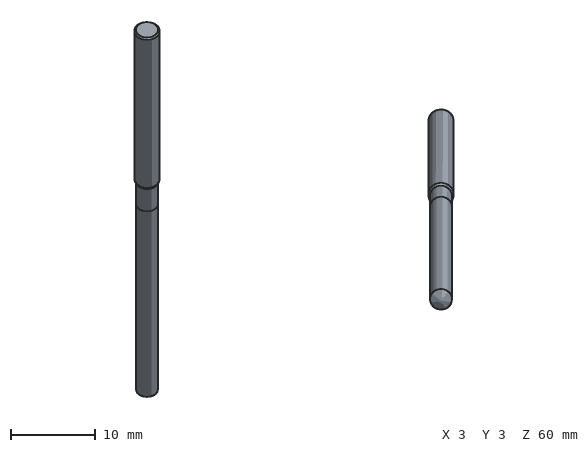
import cadquery as cq
import math

overall_length = 60.0
shank_diameter = 3.0
drill_diameter = 2.6
shank_length = 24.7
cutting_length = 31.2
point_angle = 140.0
shank_chamfer = 0.2
taper_angle = 26.0

shank_radius = shank_diameter / 2
drill_radius = drill_diameter / 2
point_height = drill_radius / math.tan(math.radians(point_angle / 2))
taper_height = (shank_radius - drill_radius) / math.tan(math.radians(taper_angle))
shank_bottom = overall_length - shank_length


def revolve_about_axis(half_profile):
    """Solid of revolution about Z from (radius, height) points."""
    return cq.Workplane("XZ").polyline(half_profile).close().revolve(360, (0, 0), (0, 1))


def make_shank():
    """Cylinder with a chamfered top edge."""
    shank = cq.Workplane("XY").workplane(offset=shank_bottom).circle(shank_radius).extrude(shank_length)
    return shank.faces(">Z").chamfer(shank_chamfer)


def make_neck():
    """Cylinder on top of the cutting part that tapers out to the shank diameter."""
    return revolve_about_axis([
        (0, cutting_length),
        (drill_radius, cutting_length),
        (drill_radius, shank_bottom - taper_height),
        (shank_radius, shank_bottom),
        (0, shank_bottom),
    ])


def make_cutting_part():
    """Cylinder that ends in the conical drill point."""
    return revolve_about_axis([
        (0, 0),
        (drill_radius, point_height),
        (drill_radius, cutting_length),
        (0, cutting_length),
    ])


shank = make_shank()
neck = make_neck()
cutting_part = make_cutting_part()

result = cq.Compound.makeCompound([shank.val(), neck.val(), cutting_part.val()])